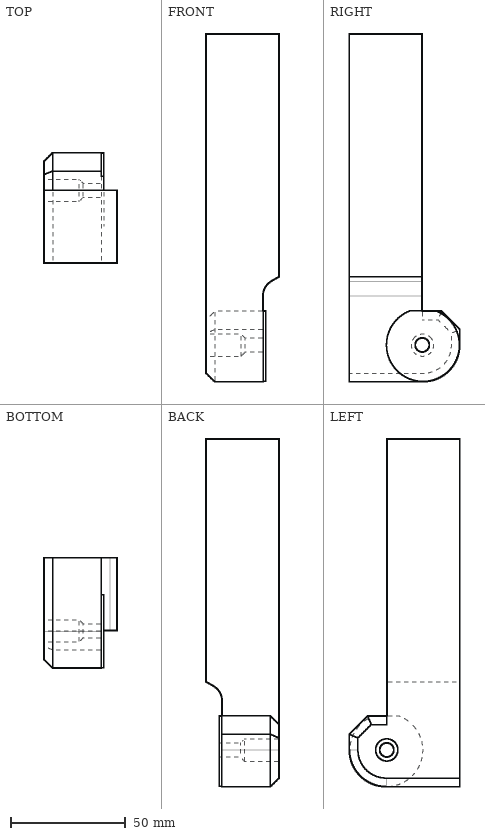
import cadquery as cq
import math

shank_width = 31.8
shank_height = 151.6

neck_thickness = 24.9
relief_start_height = 37.5
relief_radius = 7.5
relief_angle = 60.0

head_radius = 16.0
head_offset = 0.3
head_top = 31.0
head_corner_cut = 8.0
edge_chamfer = 3.8

disc_radius = 15.9
disc_height = 1.2

bore_diameter = 9.7
bore_depth = 15.2
through_diameter = 6.0
seat_depth = (bore_diameter - through_diameter) / 2

axis_y = shank_width + head_offset
axis_z = head_radius
head_end_y = axis_y + head_radius
total_thickness = neck_thickness + disc_height


def make_shank():
    sweep = math.radians(relief_angle)
    arc_center_x = neck_thickness + relief_radius

    def arc_point(angle):
        return (
            arc_center_x - relief_radius * math.cos(angle),
            relief_start_height + relief_radius * math.sin(angle),
        )

    arc_end = arc_point(sweep)
    ramp_rise = (shank_width - arc_end[0]) / math.tan(sweep)
    return (
        cq.Workplane("XZ")
        .moveTo(0, edge_chamfer)
        .lineTo(edge_chamfer, 0)
        .lineTo(neck_thickness, 0)
        .lineTo(neck_thickness, relief_start_height)
        .threePointArc(arc_point(sweep / 2), arc_end)
        .lineTo(shank_width, arc_end[1] + ramp_rise)
        .lineTo(shank_width, shank_height)
        .lineTo(0, shank_height)
        .close()
        .extrude(-shank_width)
    )


def make_head():
    diagonal = head_radius * math.sqrt(0.5)
    root_y = shank_width / 2
    return (
        cq.Workplane("YZ")
        .moveTo(root_y, 0)
        .lineTo(axis_y, 0)
        .threePointArc((axis_y + diagonal, axis_z - diagonal), (head_end_y, axis_z))
        .lineTo(head_end_y, head_top - head_corner_cut)
        .lineTo(head_end_y - head_corner_cut, head_top)
        .lineTo(root_y, head_top)
        .close()
        .extrude(neck_thickness)
        .faces("<X")
        .edges("not <Y")
        .chamfer(edge_chamfer)
    )


def make_disc():
    """Clamping disc, cut level with the top of the head."""
    disc = (
        cq.Workplane("YZ", origin=(neck_thickness, axis_y, axis_z))
        .circle(disc_radius)
        .extrude(disc_height)
    )
    level = cq.Workplane("XY").box(
        total_thickness, head_end_y, head_top, centered=False)
    return disc.intersect(level)


def make_hole():
    """Screw hole centred on the +Y face of the shank, level with the head axis."""
    bore_radius = bore_diameter / 2
    through_radius = through_diameter / 2
    seat_end = bore_depth + seat_depth
    return (
        cq.Workplane("XY", origin=(0, shank_width, axis_z))
        .polyline([
            (0, 0),
            (0, bore_radius),
            (bore_depth, bore_radius),
            (seat_end, through_radius),
            (total_thickness, through_radius),
            (total_thickness, 0),
        ])
        .close()
        .revolve(360, (0, 0, 0), (1, 0, 0))
    )


result = make_shank().union(make_head()).union(make_disc()).cut(make_hole())